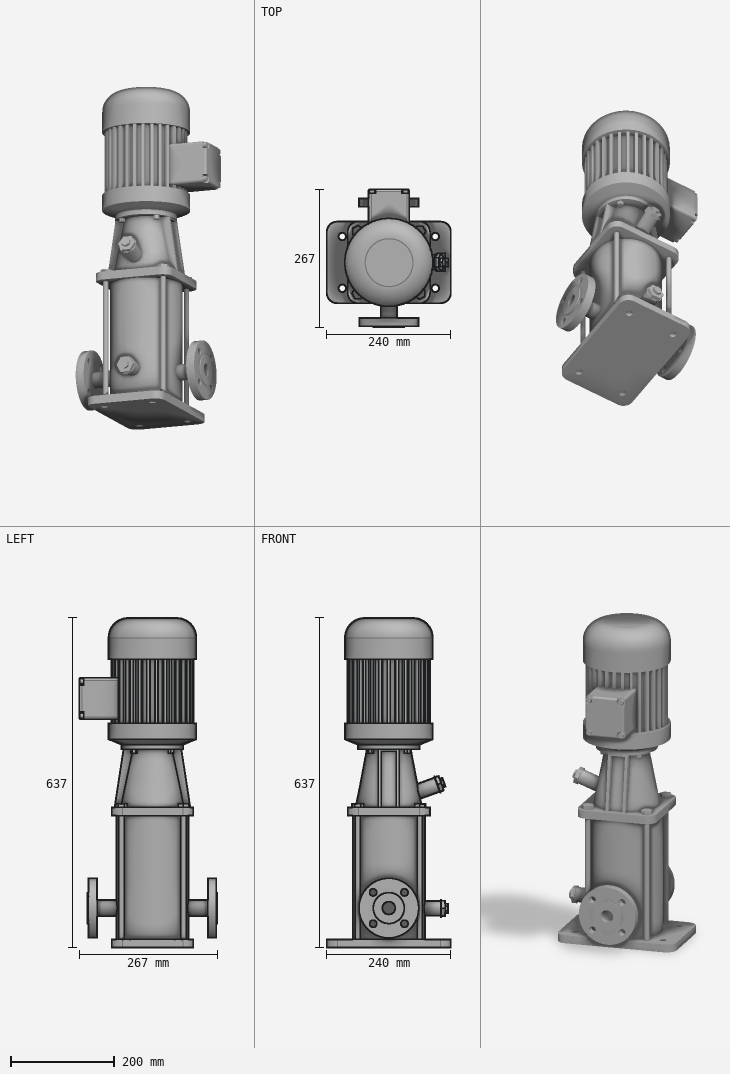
import cadquery as cq
import math

plate_thick = 16.0
head_plate_bottom = 255.0
head_plate_top = head_plate_bottom + plate_thick
neck_bottom = 383.0
neck_top = 392.5
lower_ring_bottom = 402.5
lower_ring_top = 433.0
cap_bottom = 557.5
total_height = 637.0

base_length = 240.0
head_plate_length = 159.0
plate_width = 158.0
plate_corner = 20.5
base_hole_dia = 14.0
base_hole_spacing_x = 179.5
base_hole_spacing_y = 100.0
barrel_dia = 140.0
rod_dia = 10.0
rod_spacing = 120.0
rod_head_dia = 23.0
bolt_head_height = 7.0

cone_base_dia = 128.5
cone_top_dia = 85.5
rib_thick = 6.0
rib_offset = 17.0
rib_reach_bottom = 73.0
rib_reach_top = 56.0
foot_web_thick = 0.5
top_web_thick = 3.0
neck_dia = 120.0
neck_bolt_spacing = 71.5
neck_bolt_head_dia = 13.0

motor_dia = 170.0
cap_radius = 39.0
fin_dia = 160.0
fin_root_dia = 140.0
fin_count = 30
fin_thick = 6.0

box_width = 79.0
box_height = 81.0
box_bottom = 441.0
box_face = 141.5
box_start = 51.0
box_rounding = 5.0
box_face_rounding = 4.5
screw_inset = 7.0
screw_recess_size = 14.5
screw_recess_corner = 7.5
screw_recess_depth = 8.0
screw_head_dia = 10.0
screw_head_height = 7.0

port_height = 76.5
pipe_dia = 32.0
flange_dia = 115.0
flange_thick = 16.5
raised_face_dia = 60.0
raised_face_height = 2.0
port_face = 125.5
bore_dia = 25.0
flange_hole_dia = 14.0
flange_hole_spacing = 60.5

plug_pipe_dia = 29.0
plug_hex_flats = 30.0
plug_hex_thick = 8.0
plug_tip_dia = 18.5
plug_tip_length = 6.0
plug_washer_dia = 34.5
plug_washer_thick = 0.5
drain_plug_height = 76.0
drain_plug_reach = 100.5
vent_axis_height = 281.0
vent_plug_reach = 99.5
vent_tilt = 20.0


def disc(diameter, bottom, top):
    return cq.Workplane("XY").workplane(offset=bottom).circle(diameter / 2).extrude(top - bottom)


def frustum(bottom_dia, top_dia, bottom, top):
    profile = [(0, bottom), (bottom_dia / 2, bottom), (top_dia / 2, top), (0, top)]
    return cq.Workplane("XZ").polyline(profile).close().revolve(360, (0, 0, 0), (0, 1, 0))


def rounded_plate(length, bottom):
    plate = cq.Workplane("XY").workplane(offset=bottom).rect(length, plate_width).extrude(plate_thick)
    return plate.edges("|Z").fillet(plate_corner)


def corner_bolts(spacing, head_dia, bottom):
    """Four hexagon heads on a square, each turned 90 degrees from the last."""
    first = (
        cq.Workplane("XY")
        .workplane(offset=bottom)
        .center(-spacing / 2, -spacing / 2)
        .polygon(6, head_dia)
        .extrude(bolt_head_height)
    )
    heads = first
    for turn in (90, 180, 270):
        heads = heads.union(first.rotate((0, 0, 0), (0, 0, 1), turn))
    return heads


def pump_body():
    base = rounded_plate(base_length, 0)
    base = (
        base.faces(">Z")
        .workplane()
        .rect(base_hole_spacing_x, base_hole_spacing_y, forConstruction=True)
        .vertices()
        .hole(base_hole_dia)
    )
    rods = (
        cq.Workplane("XY")
        .rect(rod_spacing, rod_spacing, forConstruction=True)
        .vertices()
        .circle(rod_dia / 2)
        .extrude(head_plate_top)
    )
    return (
        base.union(disc(barrel_dia, 0, head_plate_top))
        .union(rods)
        .union(rounded_plate(head_plate_length, head_plate_bottom))
        .union(corner_bolts(rod_spacing, rod_head_dia, head_plate_top))
    )


def rib_reach(height):
    """Distance of the sloping rib edge from the pump axis at a given height."""
    fraction = (height - head_plate_top) / (neck_bottom - head_plate_top)
    return rib_reach_bottom + fraction * (rib_reach_top - rib_reach_bottom)


def rib_layer(width, bottom, top):
    """Upright slab across the bracket that follows the sloping rib edges."""
    outline = [
        (-rib_reach(bottom), bottom),
        (rib_reach(bottom), bottom),
        (rib_reach(top), top),
        (-rib_reach(top), top),
    ]
    return cq.Workplane("YZ").polyline(outline).close().extrude(width / 2, both=True)


def motor_bracket():
    bracket = frustum(cone_base_dia, cone_top_dia, head_plate_top, neck_bottom)
    rib = rib_layer(rib_thick, head_plate_top, neck_bottom)
    for side in (-1, 1):
        bracket = bracket.union(rib.translate((side * rib_offset, 0, 0)))
    foot_web = rib_layer(2 * rib_offset, head_plate_top, head_plate_top + foot_web_thick)
    top_web = rib_layer(2 * rib_offset, neck_bottom - top_web_thick, neck_bottom)
    bolts = corner_bolts(neck_bolt_spacing, neck_bolt_head_dia, neck_bottom - bolt_head_height)
    return bracket.union(foot_web).union(top_web).union(bolts)


def motor():
    fin_length = cap_bottom - lower_ring_top
    fin = (
        cq.Workplane("XY")
        .workplane(offset=lower_ring_top)
        .center(fin_dia / 4, 0)
        .rect(fin_dia / 2, fin_thick)
        .extrude(fin_length)
    )
    pitch = 360 / fin_count
    fins = disc(fin_root_dia, lower_ring_top, cap_bottom)
    for index in range(fin_count):
        fins = fins.union(fin.rotate((0, 0, 0), (0, 0, 1), (index + 0.5) * pitch))
    cap = disc(motor_dia, cap_bottom, total_height).faces(">Z").edges().fillet(cap_radius)
    return (
        disc(neck_dia, neck_bottom, neck_top)
        .union(frustum(neck_dia, motor_dia, neck_top, lower_ring_bottom))
        .union(disc(motor_dia, lower_ring_bottom, lower_ring_top))
        .union(fins)
        .union(cap)
    )


def terminal_box():
    """Rounded box with a recessed cover screw in each corner of its +Y face."""
    box = cq.Workplane("XY").box(
        box_width, box_face - box_start, box_height, centered=(True, False, True)
    )
    box = box.edges("|Y").fillet(box_rounding)
    box = box.faces(">Y").edges().fillet(box_face_rounding)
    recess_plane = cq.Workplane("XZ", origin=(0, box_face - box_start - screw_recess_depth, 0))
    recesses = (
        recess_plane.rect(box_width, box_height, forConstruction=True)
        .vertices()
        .rect(2 * screw_recess_size, 2 * screw_recess_size)
        .extrude(-screw_recess_depth)
        .edges("|Y")
        .fillet(screw_recess_corner)
    )
    heads = (
        recess_plane.rect(box_width - 2 * screw_inset, box_height - 2 * screw_inset, forConstruction=True)
        .vertices()
        .circle(screw_head_dia / 2)
        .extrude(-screw_head_height)
    )
    box = box.cut(recesses).union(heads)
    return box.translate((0, box_start, box_bottom + box_height / 2))


def pipe_port():
    """Flanged pipe toward -Y, bored through to the barrel wall."""
    axis_plane = cq.Workplane("XZ", origin=(0, 0, port_height))
    flange_face = port_face - raised_face_height
    flange_plane = axis_plane.workplane(offset=flange_face - flange_thick)
    flange = (
        flange_plane.circle(flange_dia / 2)
        .extrude(flange_thick)
        .faces("<Y")
        .workplane(centerOption="CenterOfBoundBox")
        .rect(flange_hole_spacing, flange_hole_spacing, forConstruction=True)
        .vertices()
        .hole(flange_hole_dia)
    )
    raised_face = flange_plane.circle(raised_face_dia / 2).extrude(flange_thick + raised_face_height)
    pipe = axis_plane.circle(pipe_dia / 2).extrude(flange_face)
    bore = axis_plane.circle(bore_dia / 2).extrude(port_face)
    return pipe.union(flange).union(raised_face).cut(bore)


def plug(reach):
    """Stub pipe along +X, closed by a washer, a hexagon and a smaller hexagon tip."""
    hex_dia = plug_hex_flats / math.cos(math.pi / 6)
    hex_end = reach + plug_hex_thick
    end_plane = cq.Workplane("YZ").workplane(offset=reach)
    stub = cq.Workplane("YZ").circle(plug_pipe_dia / 2).extrude(reach)
    washer = end_plane.circle(plug_washer_dia / 2).extrude(plug_washer_thick)
    hexagon = end_plane.polygon(6, hex_dia).extrude(plug_hex_thick)
    tip = cq.Workplane("YZ").workplane(offset=hex_end).polygon(6, plug_tip_dia).extrude(plug_tip_length)
    tip = tip.rotate((0, 0, 0), (1, 0, 0), 90)
    return stub.union(washer).union(hexagon).union(tip)


def vent_plug():
    tilted = plug(vent_plug_reach).rotate((0, 0, 0), (0, 1, 0), -vent_tilt)
    return tilted.translate((0, 0, vent_axis_height))


front_port = pipe_port()
rear_port = front_port.rotate((0, 0, 0), (0, 0, 1), 180)
drain_plug = plug(drain_plug_reach).translate((0, 0, drain_plug_height))

result = (
    pump_body()
    .union(front_port)
    .union(rear_port)
    .union(drain_plug)
    .union(motor_bracket())
    .union(vent_plug())
    .union(motor())
    .union(terminal_box())
)